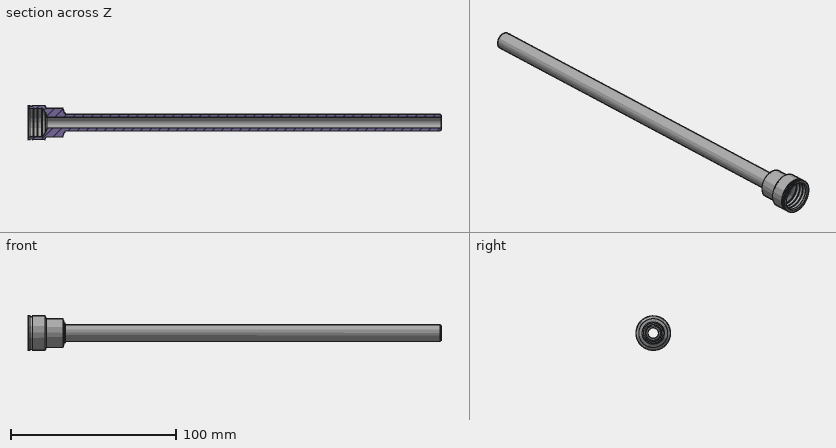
import cadquery as cq

length = 250.0
bore_diameter = 6.2

stem_diameter = 10.2
stem_tip_chamfer = 0.8

collar_diameter = 21.0
collar_end = 11.0
collar_taper_length = 0.8
hub_diameter = 17.5
hub_end = 21.8
hub_taper_length = 0.8
hub_end_diameter = 13.5
neck_diameter = 12.0
neck_taper_start = 22.2
neck_end = 22.8

groove_diameter = 20.0
groove_start = 1.2
groove_width = 1.2

mouth_diameter = 18.0
mouth_taper_length = 1.0
socket_diameter = 17.0
socket_depth = 8.8
seat_diameter = 13.0
seat_taper_length = 1.2
floor_diameter = 12.0
floor_taper_length = 0.5
drill_cone_length = 1.0

ring_diameter = 17.5
ring_count = 3
ring_pitch = 2.5
first_ring_start = 3.0
ring_width = 0.5


def revolved(stations):
    """Solid of revolution about X, from (distance along X, diameter) pairs."""
    first_x = stations[0][0]
    last_x = stations[-1][0]
    outline = [(x, diameter / 2) for x, diameter in stations]
    closed_outline = [(first_x, 0), *outline, (last_x, 0)]
    return cq.Workplane("XY").polyline(closed_outline).close().revolve(360, (0, 0, 0), (1, 0, 0))


def make_body():
    """Solid collar, hub, neck and stem, with the groove near the open end."""
    groove_end = groove_start + groove_width
    return revolved([
        (0, collar_diameter),
        (groove_start, collar_diameter),
        (groove_start, groove_diameter),
        (groove_end, groove_diameter),
        (groove_end, collar_diameter),
        (collar_end - collar_taper_length, collar_diameter),
        (collar_end, hub_diameter),
        (hub_end - hub_taper_length, hub_diameter),
        (hub_end, hub_end_diameter),
        (hub_end, neck_diameter),
        (neck_taper_start, neck_diameter),
        (neck_end, stem_diameter),
        (length - stem_tip_chamfer, stem_diameter),
        (length, stem_diameter - 2 * stem_tip_chamfer),
    ])


def make_socket():
    """Void of the socket: flared mouth, straight wall, seat and conical floor."""
    seat_end = socket_depth + seat_taper_length
    floor_start = seat_end + floor_taper_length
    return revolved([
        (0, mouth_diameter),
        (mouth_taper_length, socket_diameter),
        (socket_depth, socket_diameter),
        (seat_end, seat_diameter),
        (floor_start, floor_diameter),
        (floor_start + drill_cone_length, bore_diameter),
    ])


def make_ring(start):
    """Void of one V-shaped ring in the socket wall."""
    return revolved([
        (start, socket_diameter),
        (start + ring_width / 2, ring_diameter),
        (start + ring_width, socket_diameter),
    ])


result = make_body().cut(make_socket())
for ring in range(ring_count):
    result = result.cut(make_ring(first_ring_start + ring * ring_pitch))

through_bore = revolved([(0, bore_diameter), (length, bore_diameter)])
result = result.cut(through_bore)